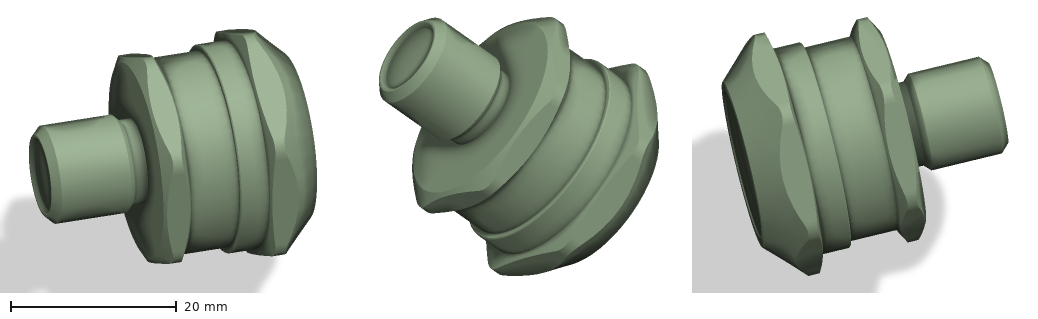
import cadquery as cq
import math

overall_length = 31.75

nose_diameter = 12.0
nose_chamfer = 1.0
neck_diameter = 10.4
neck_length = 1.5
hex_front = 12.0

recess_mouth_radius = 4.75
recess_floor_radius = 4.25
recess_depth = recess_mouth_radius - recess_floor_radius

body_diameter = 24.0
body_length = 6.0
collar_diameter = 25.5
collar_length = 3.52
collar_chamfer = 0.13

front_hex_flats = 25.02
front_hex_width = 3.5
front_hex_angle = 30.0
rear_hex_flats = 27.0
rear_hex_angle = 15.0
hex_corner_radius = 2.92

rear_face_radius = 10.3
rear_recess_radius = 9.08
rear_recess_depth = 0.2

body_start = hex_front + front_hex_width
collar_start = body_start + body_length
rear_hex_start = collar_start + collar_length
rear_hex_width = overall_length - rear_hex_start


def revolve_profile(points):
    """Turn a closed outline of (radius, station) points about the Y axis."""
    return cq.Workplane("XY").polyline(points).close().revolve(360, (0, 0, 0), (0, 1, 0))


def cylinder(diameter, start, length):
    return cq.Workplane("XZ", origin=(0, start, 0)).circle(diameter / 2).extrude(-length)


def hex_prism(flats, start, width):
    """Hexagonal prism along +Y with rounded edges and corners pointing along Z."""
    corner_diameter = flats / math.cos(math.radians(30))
    prism = cq.Workplane("XZ", origin=(0, start, 0)).polygon(6, corner_diameter).extrude(-width)
    prism = prism.rotate((0, 0, 0), (0, 1, 0), 30)
    return prism.edges("|Y").fillet(hex_corner_radius)


def make_nose():
    radius = nose_diameter / 2
    neck_radius = neck_diameter / 2
    neck_start = hex_front - neck_length
    shoulder_start = neck_start - (radius - neck_radius)
    return revolve_profile([
        (0, recess_depth),
        (recess_floor_radius, recess_depth),
        (recess_mouth_radius, 0),
        (radius - nose_chamfer, 0),
        (radius, nose_chamfer),
        (radius, shoulder_start),
        (neck_radius, neck_start),
        (neck_radius, hex_front),
        (0, hex_front),
    ])


def make_front_hex():
    """Hexagon with its corners cut by the same shallow cone at both ends."""
    face_radius = body_diameter / 2
    outer_radius = front_hex_flats
    rise = (outer_radius - face_radius) * math.tan(math.radians(front_hex_angle))
    front_cone = revolve_profile([
        (0, hex_front),
        (face_radius, hex_front),
        (outer_radius, hex_front + rise),
        (0, hex_front + rise),
    ])
    rear_cone = revolve_profile([
        (0, body_start),
        (face_radius, body_start),
        (outer_radius, body_start - rise),
        (0, body_start - rise),
    ])
    prism = hex_prism(front_hex_flats, hex_front, front_hex_width)
    return prism.intersect(front_cone).intersect(rear_cone)


def make_collar():
    collar = cylinder(collar_diameter, collar_start, collar_length)
    return collar.faces("<Y").edges().chamfer(collar_chamfer)


def make_rear_hex():
    """Hexagon cut by a shallow cone in front and a long 45 degree cone behind."""
    collar_radius = collar_diameter / 2
    outer_radius = rear_face_radius + rear_hex_width
    rise = (outer_radius - collar_radius) * math.tan(math.radians(rear_hex_angle))
    front_cone = revolve_profile([
        (0, rear_hex_start),
        (collar_radius, rear_hex_start),
        (outer_radius, rear_hex_start + rise),
        (outer_radius, overall_length),
        (0, overall_length),
    ])
    rear_cone = revolve_profile([
        (0, rear_hex_start),
        (outer_radius, rear_hex_start),
        (rear_face_radius, overall_length),
        (0, overall_length),
    ])
    prism = hex_prism(rear_hex_flats, rear_hex_start, rear_hex_width)
    return prism.intersect(front_cone).intersect(rear_cone)


rear_recess = cylinder(2 * rear_recess_radius, overall_length - rear_recess_depth, rear_recess_depth)

result = (
    make_nose()
    .union(make_front_hex())
    .union(cylinder(body_diameter, body_start, body_length))
    .union(make_collar())
    .union(make_rear_hex())
    .cut(rear_recess)
)